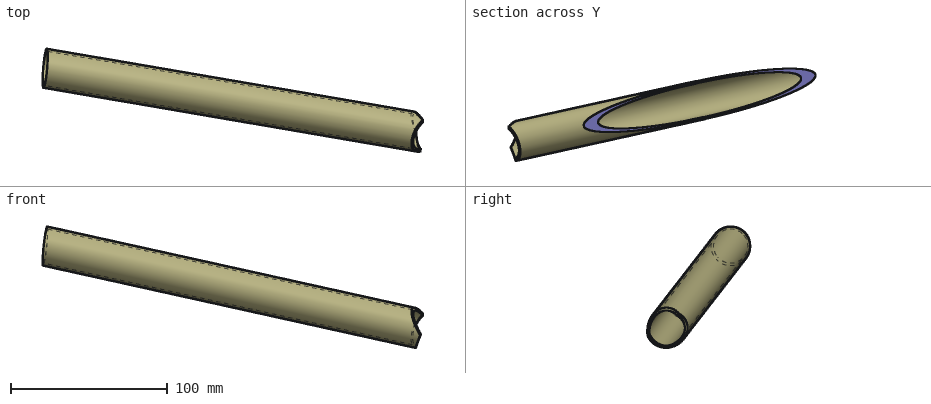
import cadquery as cq
import math

outer_diameter = 25.0
wall = 1.6
slope_y = -0.171
slope_z = -0.221
start_x = -119.55
start_y = 20.5
start_z = 26.22

upper_mitre = {"distance": 252.1, "angle": 40.7, "bearing": 70.0}
side_mitre = {"distance": 250.4, "angle": 35.0, "bearing": 195.0}
lower_mitre = {"distance": 250.7, "angle": 13.0, "bearing": 240.0}
far_mitres = [upper_mitre, side_mitre, lower_mitre]

outer_radius = outer_diameter / 2
inner_radius = outer_radius - wall
overshoot = 2 * outer_diameter
cutter_size = 3 * overshoot
raw_length = max(mitre["distance"] for mitre in far_mitres) + 2 * overshoot

x_dir = cq.Vector(1, 0, 0)
z_dir = cq.Vector(0, 0, 1)
start = cq.Vector(start_x, start_y, start_z)
tube_dir = cq.Vector(1, slope_y, slope_z).normalized()

level_dir = tube_dir.cross(z_dir).normalized()
upright_dir = level_dir.cross(tube_dir)


def raw_tube():
    """Round tube, longer than needed at both ends."""
    base = start - tube_dir * overshoot
    outer = cq.Solid.makeCylinder(outer_radius, raw_length, base, tube_dir)
    bore = cq.Solid.makeCylinder(inner_radius, raw_length, base, tube_dir)
    return cq.Workplane(outer.cut(bore))


def half_space_block(point, outward_dir):
    """Block that fills the space beyond a plane through the point."""
    plane = cq.Plane(point, normal=outward_dir)
    return cq.Workplane(plane).rect(cutter_size, cutter_size).extrude(cutter_size)


def start_mitre():
    """Cutter for the start, mitred halfway between the tube axis and the X axis."""
    return half_space_block(start, (tube_dir + x_dir) * -1)


def end_mitre(distance, angle, bearing):
    """Cutter for one flat of the far end."""
    turn = math.radians(bearing)
    lean_dir = level_dir * math.cos(turn) + upright_dir * math.sin(turn)
    outward_dir = tube_dir + lean_dir * math.tan(math.radians(angle))
    return half_space_block(start + tube_dir * distance, outward_dir)


result = raw_tube().cut(start_mitre())
for mitre in far_mitres:
    result = result.cut(end_mitre(**mitre))